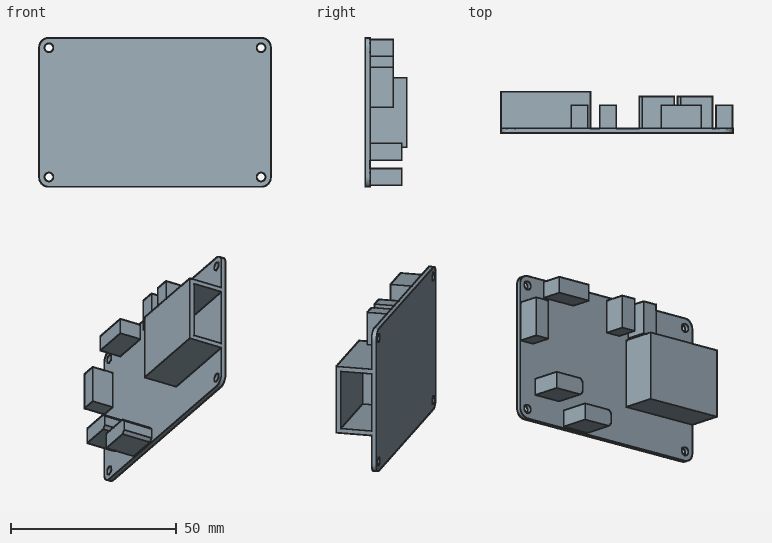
import cadquery as cq

board_length = 70.0
board_height = 45.0
board_thickness = 1.5
corner_radius = 3.0
hole_diameter = 2.6
hole_inset = corner_radius
edge_margin = 0.5

housing_length = 27.0
housing_height = 21.0
housing_bottom = 12.0
housing_depth = 11.05
housing_wall = board_thickness

jack_length = 10.65
jack_height = 5.1
jack_depth = housing_depth - housing_wall
jack_chamfer = 1.0
jack_lefts = (41.65, 53.2)
jack_bottoms = (edge_margin, 8.05)

header_width = 5.05
header_depth = 7.0
short_header_length = 10.15
long_header_length = 12.05
short_header_lefts = (21.15, 29.75)
short_header_bottom = 33.8
top_header_left = 48.4
side_header_margin = 0.15
side_header_bottom = 24.0


def mounted_block(left, bottom, length, height, depth):
    """Box seated on the +Y face of the board, placed by its lower left corner."""
    block = cq.Workplane("XY").box(length, depth, height, centered=False)
    return block.translate((left, board_thickness, bottom))


def make_board():
    """Rounded plate with a mounting hole in each corner."""
    board = cq.Workplane("XY").box(board_length, board_thickness, board_height, centered=False)
    board = board.edges("|Y").fillet(corner_radius)
    return (
        board.faces("<Y")
        .workplane(centerOption="CenterOfBoundBox")
        .rect(board_length - 2 * hole_inset, board_height - 2 * hole_inset, forConstruction=True)
        .vertices()
        .hole(hole_diameter)
    )


def make_housing():
    """Hollow housing with the board as its fourth wall."""
    shell = mounted_block(0, housing_bottom, housing_length, housing_height, housing_depth)
    cavity = mounted_block(
        0,
        housing_bottom + housing_wall,
        housing_length - housing_wall,
        housing_height - 2 * housing_wall,
        housing_depth - housing_wall,
    )
    return shell.cut(cavity)


def make_jack(left, bottom):
    """Block with both corners of its -X end chamfered."""
    jack = mounted_block(left, bottom, jack_length, jack_height, jack_depth)
    return jack.faces("<X").edges("|Y").chamfer(jack_chamfer)


result = make_board().union(make_housing())

for jack_left, jack_bottom in zip(jack_lefts, jack_bottoms):
    result = result.union(make_jack(jack_left, jack_bottom))

for header_left in short_header_lefts:
    short_header = mounted_block(
        header_left, short_header_bottom, header_width, short_header_length, header_depth
    )
    result = result.union(short_header)

top_header_bottom = board_height - edge_margin - header_width
top_header = mounted_block(
    top_header_left, top_header_bottom, long_header_length, header_width, header_depth
)
result = result.union(top_header)

side_header_left = board_length - side_header_margin - header_width
side_header = mounted_block(
    side_header_left, side_header_bottom, header_width, long_header_length, header_depth
)
result = result.union(side_header)